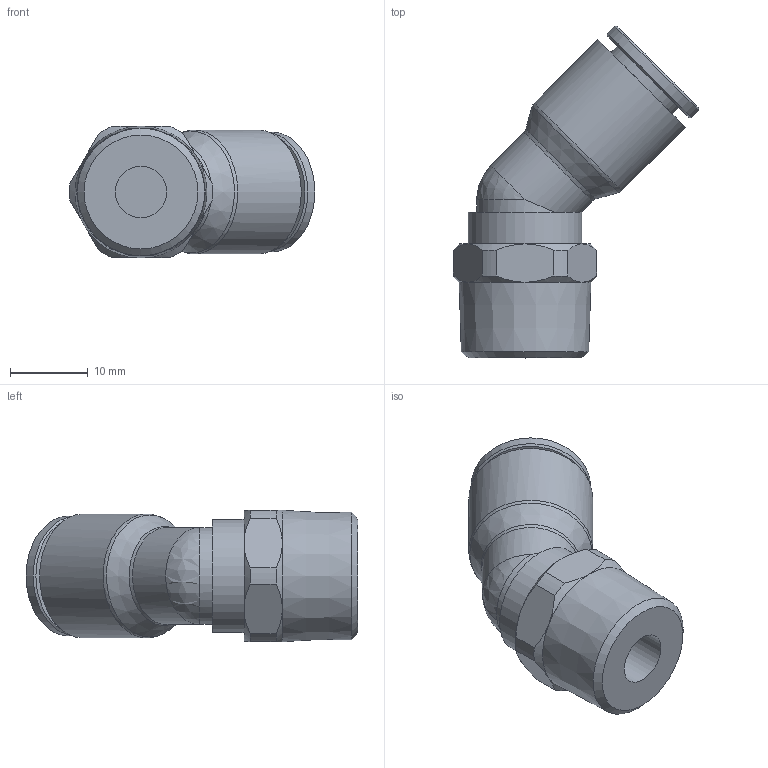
import cadquery as cq
import math

ARM_ANGLE = 45.0

STUD_LENGTH = 20.4
THREAD_GAUGE_RADIUS = 8.34
THREAD_GAUGE_HEIGHT = 4.6
THREAD_TAPER = 1 / 32
THREAD_TIP_RADIUS = 7.35
THREAD_TIP_CHAMFER = 0.8
HEX_BASE_HEIGHT = 9.75
HEX_THICKNESS = 4.95
HEX_ACROSS_FLATS = 17.0
HEX_CORNER_DIAMETER = 18.55
HEX_CHAMFER_HEIGHT = 0.8
COLLAR_RADIUS = 7.3
COLLAR_TOP_HEIGHT = 18.8
BORE_DIAMETER = 6.7

PIPE_RADIUS = 6.25
SLEEVE_RADIUS = 8.0
FLARE_START = 6.3
FLARE_END = 9.4
FLARE_FILLET = 1.0
EDGE_SEARCH = 0.1
SLEEVE_END = 21.25
RELEASE_NECK_RADIUS = 5.6
RELEASE_FLANGE_START = SLEEVE_END + 1.2
RELEASE_FLANGE_END = SLEEVE_END + 3.0
RELEASE_FLANGE_RADIUS = 7.72
RELEASE_FLANGE_CHAMFER = 0.25


def turned(points):
    """Solid of revolution about Y from (radius, y) points; the ends are closed onto the axis."""
    outline = [(0, points[0][1])] + points + [(0, points[-1][1])]
    return cq.Workplane("XY").polyline(outline).close().revolve(360, (0, 0, 0), (0, 1, 0))


def stud_y(height):
    """Y coordinate of a height above the open end of the stud."""
    return height - STUD_LENGTH


def thread_radius(height):
    return THREAD_GAUGE_RADIUS + (height - THREAD_GAUGE_HEIGHT) * THREAD_TAPER


def make_thread():
    heights = [THREAD_TIP_CHAMFER, HEX_BASE_HEIGHT]
    flank = [(thread_radius(height), stud_y(height)) for height in heights]
    return turned([(THREAD_TIP_RADIUS, stud_y(0))] + flank)


def make_hexagon():
    """Hexagon with flats facing +Z and -Z, its corners turned round and chamfered at both ends."""
    base = stud_y(HEX_BASE_HEIGHT)
    top = base + HEX_THICKNESS
    across_corners = HEX_ACROSS_FLATS / math.cos(math.radians(30))
    prism = (
        cq.Workplane("XZ", origin=(0, base, 0))
        .polygon(6, across_corners)
        .extrude(-HEX_THICKNESS)
    )
    flat_radius = HEX_ACROSS_FLATS / 2
    corner_radius = HEX_CORNER_DIAMETER / 2
    blank = turned([
        (flat_radius, base),
        (corner_radius, base + HEX_CHAMFER_HEIGHT),
        (corner_radius, top - HEX_CHAMFER_HEIGHT),
        (flat_radius, top),
    ])
    return prism.intersect(blank)


def make_collar():
    base = stud_y(HEX_BASE_HEIGHT + HEX_THICKNESS)
    return turned([(COLLAR_RADIUS, base), (COLLAR_RADIUS, stud_y(COLLAR_TOP_HEIGHT))])


def make_elbow():
    """Ball at the bend and the short straight pipe that joins it to the collar."""
    ball = cq.Workplane("XY").sphere(PIPE_RADIUS)
    pipe = turned([(PIPE_RADIUS, stud_y(COLLAR_TOP_HEIGHT)), (PIPE_RADIUS, 0)])
    return ball.union(pipe)


def make_arm():
    """Pipe, flared sleeve and release ring, turned about Y and then swung over towards +X."""
    sleeve = turned([
        (PIPE_RADIUS, 0),
        (PIPE_RADIUS, FLARE_START),
        (SLEEVE_RADIUS, FLARE_END),
        (SLEEVE_RADIUS, SLEEVE_END),
    ])
    for flare_edge in (FLARE_START, FLARE_END):
        near_edge = cq.selectors.BoxSelector(
            (-SLEEVE_RADIUS, flare_edge - EDGE_SEARCH, -SLEEVE_RADIUS),
            (SLEEVE_RADIUS, flare_edge + EDGE_SEARCH, SLEEVE_RADIUS),
        )
        sleeve = sleeve.edges("%CIRCLE").edges(near_edge).fillet(FLARE_FILLET)
    flange_rim = RELEASE_FLANGE_RADIUS - RELEASE_FLANGE_CHAMFER
    release_ring = turned([
        (RELEASE_NECK_RADIUS, SLEEVE_END),
        (RELEASE_NECK_RADIUS, RELEASE_FLANGE_START),
        (flange_rim, RELEASE_FLANGE_START),
        (RELEASE_FLANGE_RADIUS, RELEASE_FLANGE_START + RELEASE_FLANGE_CHAMFER),
        (RELEASE_FLANGE_RADIUS, RELEASE_FLANGE_END - RELEASE_FLANGE_CHAMFER),
        (flange_rim, RELEASE_FLANGE_END),
    ])
    return sleeve.union(release_ring).rotate((0, 0, 0), (0, 0, 1), -ARM_ANGLE)


def make_bore():
    """Flat-bottomed bore from the thread end up to the top of the collar."""
    radius = BORE_DIAMETER / 2
    return turned([(radius, stud_y(0)), (radius, stud_y(COLLAR_TOP_HEIGHT))])


stud = make_thread().union(make_hexagon()).union(make_collar())
result = stud.union(make_elbow()).union(make_arm()).cut(make_bore())